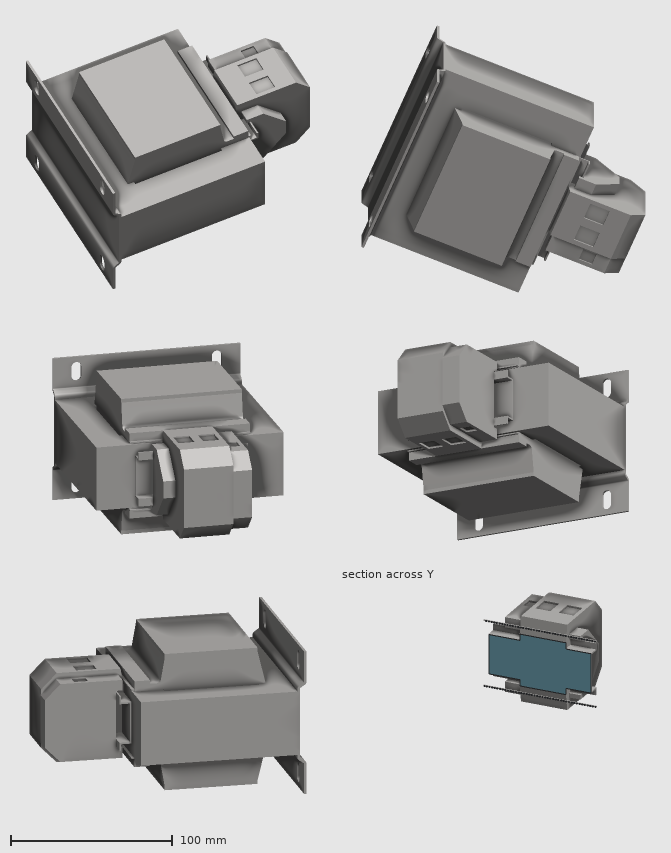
import cadquery as cq
import math


WIDTH = 120.0
CORE_FRONT = 5.9
CORE_REAR = 105.5
CORE_HALF_HEIGHT = 20.5
WINDOW_HALF_SPAN = 40.0
WINDOW_FRONT = 25.5
WINDOW_REAR = 85.6

COIL_WIDTH = 77.3
COIL_HALF_HEIGHT = 44.0
CORE_CLEARANCE = 0.55
COIL_FRONT = 21.0
COIL_TOP_FRONT = 26.1
COIL_TOP_REAR = 85.2
COIL_EDGE_HEIGHT = 2.4
LEDGE_FRONT = 88.0
LEDGE_STEP = 94.5
LEDGE_REAR = 104.5
LEDGE_HEIGHT = 27.7
LEDGE_RECESS = 2.2
LEDGE_FILLET = 2.5
TAB_REAR = 106.4
TAB_BOTTOM = 21.7
TAB_TOP = 22.5

BRACKET_HEIGHT = 92.0
SHEET = 1.6
FOLD_ANGLE = 57.0
FOLD_START = 25.3
FOLD_INNER_RADIUS = 1.0
SLOT_WIDTH = 6.2
SLOT_LENGTH = 12.2
SLOT_X = 45.0
SLOT_Z = 36.4

RAIL_LENGTH = 70.3
RAIL_SHEET = 1.0
RAIL_DEPTH = 7.8
RAIL_REAR = CORE_REAR + RAIL_DEPTH
RAIL_HALF_HEIGHT = 17.5
RAIL_CHANNEL_HALF = 13.5

SMALL_BLOCK_START = -25.6
LARGE_BLOCKS_START = -13.8
CLAMP_START = 17.9
CLAMP_END = 25.6
BLOCK_CHAMFER = 9.8
SMALL_BLOCK_REAR = 158.3
SMALL_BLOCK_HALF_HEIGHT = 25.2
SMALL_BLOCK_FRONT = 109.0
HOOK_HALF_GAP = 18.4
LARGE_BLOCK_REAR = 157.8
LARGE_BLOCK_HALF_HEIGHT = 28.8
LARGE_BLOCK_FRONT = 107.3
CLAMP_FRONT = 110.0
CLAMP_REAR = 137.2
CLAMP_HALF_HEIGHT = 21.4
CLAMP_CHAMFER = 15.8
SMALL_POCKET = (7.3, 8.9)
SMALL_POCKET_CENTRE = (-19.5, 134.7)
LARGE_POCKET = (10.3, 13.0)
LARGE_POCKET_CENTRES = [(-5.7, 128.4), (10.1, 128.4)]
POCKET_DEPTH = 1.3


def prism(points, x_start, x_end):
    """Extrude a closed (y, z) outline from x_start to x_end."""
    outline = cq.Workplane("YZ", origin=(x_start, 0, 0)).polyline(points).close()
    return outline.extrude(x_end - x_start)


def block(x_range, y_range, z_range):
    """Box given by its limits along each axis."""
    (x0, x1), (y0, y1), (z0, z1) = x_range, y_range, z_range
    return cq.Workplane("XY").box(x1 - x0, y1 - y0, z1 - z0, centered=False).translate((x0, y0, z0))


def mirrored(points):
    """Complete an outline whose upper half is given, by reflecting it in z = 0."""
    return points + [(y, -z) for y, z in reversed(points)]


def both_sides(body):
    """Join a body with its reflection in z = 0."""
    return body.union(body.mirror("XY"))


def make_core():
    """Closed core block with one window, later filled by the coil except for side gaps."""
    core_z = (-CORE_HALF_HEIGHT, CORE_HALF_HEIGHT)
    core = block((-WIDTH / 2, WIDTH / 2), (CORE_FRONT, CORE_REAR), core_z)
    window = block((-WINDOW_HALF_SPAN, WINDOW_HALF_SPAN), (WINDOW_FRONT, WINDOW_REAR), core_z)
    return core.cut(window)


def make_coil():
    """Winding through the core window, with an overhanging head above and below."""
    half = COIL_WIDTH / 2
    base = CORE_HALF_HEIGHT + CORE_CLEARANCE
    edge = COIL_HALF_HEIGHT - COIL_EDGE_HEIGHT
    recess = LEDGE_HEIGHT - LEDGE_RECESS
    head = prism(
        [
            (COIL_FRONT, base),
            (COIL_TOP_FRONT, edge),
            (COIL_TOP_FRONT, COIL_HALF_HEIGHT),
            (COIL_TOP_REAR, COIL_HALF_HEIGHT),
            (COIL_TOP_REAR, edge),
            (LEDGE_FRONT, recess),
            (LEDGE_STEP, recess),
            (LEDGE_STEP, LEDGE_HEIGHT),
            (LEDGE_REAR, LEDGE_HEIGHT),
            (LEDGE_REAR, base),
        ],
        -half,
        half,
    )
    ledge_corner = cq.selectors.NearestToPointSelector((0, LEDGE_FRONT, recess))
    head = head.edges("|X").edges(ledge_corner).fillet(LEDGE_FILLET)
    tab = block((-half, half), (LEDGE_STEP, TAB_REAR), (TAB_BOTTOM, TAB_TOP))
    winding = block((-half, half), (WINDOW_FRONT, WINDOW_REAR), (-base, base))
    return both_sides(head.union(tab)).union(winding)


def make_bracket():
    """Sheet with a web against the core and two feet folded out to the mounting face."""
    fold = math.radians(FOLD_ANGLE)
    web_front = CORE_FRONT - SHEET
    web_bend = FOLD_START - web_front / math.tan(fold)
    mitre = SHEET * math.tan(fold / 2)
    top = BRACKET_HEIGHT / 2
    outer_radius = FOLD_INNER_RADIUS + SHEET
    bends = [
        (web_front, web_bend, FOLD_INNER_RADIUS),
        (CORE_FRONT, web_bend + mitre, outer_radius),
        (0, FOLD_START, outer_radius),
        (SHEET, FOLD_START + mitre, FOLD_INNER_RADIUS),
    ]
    half = prism(
        [
            (web_front, 0),
            (web_front, web_bend),
            (0, FOLD_START),
            (0, top),
            (SHEET, top),
            (SHEET, FOLD_START + mitre),
            (CORE_FRONT, web_bend + mitre),
            (CORE_FRONT, 0),
        ],
        -WIDTH / 2,
        WIDTH / 2,
    )
    for y, z, radius in bends:
        bend_edge = cq.selectors.NearestToPointSelector((0, y, z))
        half = half.edges("|X").edges(bend_edge).fillet(radius)
    slots = (
        cq.Workplane("XZ")
        .pushPoints([(-SLOT_X, SLOT_Z), (SLOT_X, SLOT_Z)])
        .slot2D(SLOT_LENGTH, SLOT_WIDTH, 90)
        .extrude(SHEET, both=True)
    )
    return both_sides(half.cut(slots))


def make_rail():
    """Hat section: web on the core, lips turned outward at the rear."""
    channel = RAIL_CHANNEL_HALF - RAIL_SHEET
    lip_front = RAIL_REAR - RAIL_SHEET
    upper_half = [
        (CORE_REAR, RAIL_CHANNEL_HALF),
        (lip_front, RAIL_CHANNEL_HALF),
        (lip_front, RAIL_HALF_HEIGHT),
        (RAIL_REAR, RAIL_HALF_HEIGHT),
        (RAIL_REAR, channel),
        (CORE_REAR + RAIL_SHEET, channel),
    ]
    return prism(mirrored(upper_half), -RAIL_LENGTH / 2, RAIL_LENGTH / 2)


def chamfered_rear(rear, half_height, chamfer):
    """Upper rear end of a block outline with a 45 degree chamfer."""
    return [(rear, half_height - chamfer), (rear - chamfer, half_height)]


def cut_pockets(body, centres, size, half_height):
    """Sink shallow screwdriver openings into the upper and lower faces of a block."""
    width, length = size
    for x, y in centres:
        x_range = (x - width / 2, x + width / 2)
        y_range = (y - length / 2, y + length / 2)
        opening = block(x_range, y_range, (half_height - POCKET_DEPTH, half_height))
        body = body.cut(both_sides(opening))
    return body


def make_small_block():
    """Narrow block whose feet hook over the rail lips."""
    outline = chamfered_rear(SMALL_BLOCK_REAR, SMALL_BLOCK_HALF_HEIGHT, BLOCK_CHAMFER) + [
        (SMALL_BLOCK_FRONT, SMALL_BLOCK_HALF_HEIGHT),
        (SMALL_BLOCK_FRONT, HOOK_HALF_GAP),
        (RAIL_REAR, HOOK_HALF_GAP),
    ]
    body = prism(mirrored(outline), SMALL_BLOCK_START, LARGE_BLOCKS_START)
    return cut_pockets(body, [SMALL_POCKET_CENTRE], SMALL_POCKET, SMALL_BLOCK_HALF_HEIGHT)


def make_large_blocks():
    """Pair of abutting blocks that enclose the rail and taper down to the core."""
    outline = chamfered_rear(LARGE_BLOCK_REAR, LARGE_BLOCK_HALF_HEIGHT, BLOCK_CHAMFER) + [
        (LARGE_BLOCK_FRONT, LARGE_BLOCK_HALF_HEIGHT),
        (CORE_REAR, RAIL_HALF_HEIGHT),
    ]
    body = prism(mirrored(outline), LARGE_BLOCKS_START, CLAMP_START)
    return cut_pockets(body, LARGE_POCKET_CENTRES, LARGE_POCKET, LARGE_BLOCK_HALF_HEIGHT)


def make_end_clamp():
    """Low stop beside the large blocks, hooked over the rail lips."""
    outline = chamfered_rear(CLAMP_REAR, CLAMP_HALF_HEIGHT, CLAMP_CHAMFER) + [
        (CLAMP_FRONT, CLAMP_HALF_HEIGHT),
        (CLAMP_FRONT, HOOK_HALF_GAP),
        (RAIL_REAR, HOOK_HALF_GAP),
    ]
    return prism(mirrored(outline), CLAMP_START, CLAMP_END)


result = make_core()
for component in (
    make_coil(),
    make_bracket(),
    make_rail(),
    make_small_block(),
    make_large_blocks(),
    make_end_clamp(),
):
    result = result.union(component)